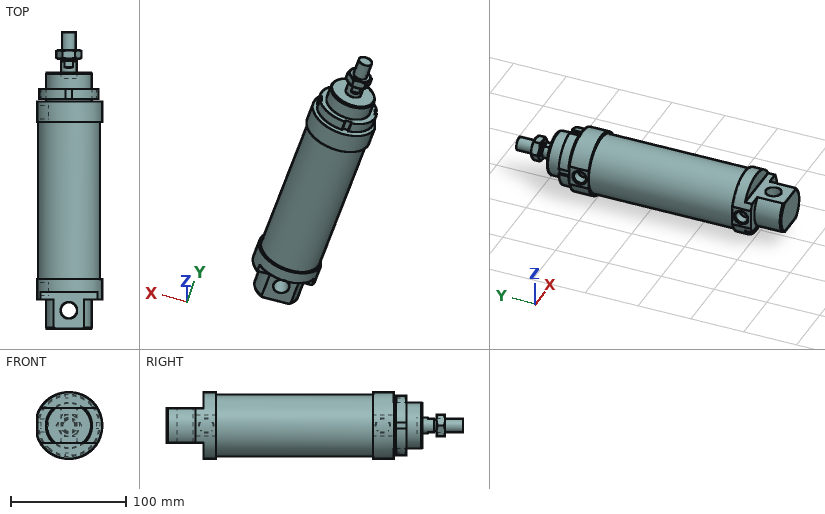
import cadquery as cq
import math


rear_end_y = -16.0
tongue_root_y = 9.3
tongue_flat_end_y = 16.0
rear_cap_end_y = 27.0
front_cap_start_y = 163.0
front_cap_end_y = 181.0
collar_end_y = 206.0
rod_shoulder_y = 216.0
rod_neck_end_y = 218.0
rod_tip_y = 241.0

cap_diameter = 58.0
tube_diameter = 54.0
collar_diameter = 40.0
collar_end_diameter = 38.5
end_chamfer_depth = (collar_diameter - collar_end_diameter) / 2
end_chamfer_angle = math.radians(30)
end_chamfer_length = end_chamfer_depth / math.tan(end_chamfer_angle)
tongue_thickness = 30.0
pivot_hole_diameter = 14.0

port_flat_x = -27.51
port_diameter = 11.6
port_mouth_diameter = 13.3
port_chamfer = (port_mouth_diameter - port_diameter) / 2
port_depth = 10.0
port_to_tube = 8.5
rear_port_y = rear_cap_end_y - port_to_tube
front_port_y = front_cap_start_y + port_to_tube

rod_diameter = 14.0
rod_neck_diameter = 10.2
thread_diameter = 12.0
wrench_flat_width = 12.0
wrench_flat_length = 5.0
wrench_flat_runout = (rod_diameter - wrench_flat_width) / 2
rod_socket_depth = 5.0

nut_across_flats = 19.0
nut_across_corners = nut_across_flats / math.cos(math.pi / 6)
nut_start_y = rod_neck_end_y
nut_thickness = 7.5
nut_face_diameter = 18.6
nut_chamfer_angle = math.radians(30)

ring_diameter = 52.0
ring_start_y = 183.0
ring_thickness = 9.0
ring_slot_count = 4
ring_slot_width = 5.5
ring_slot_depth = 2.0


def round_bar(diameter, start_y, end_y):
    """Solid cylinder on the Y axis between two stations."""
    profile = cq.Workplane("XZ", origin=(0, start_y, 0)).circle(diameter / 2)
    return profile.extrude(start_y - end_y)


def box_between(x_range, y_range, z_range):
    """Box spanning the given (low, high) range on each axis."""
    size = [high - low for low, high in (x_range, y_range, z_range)]
    corner = (x_range[0], y_range[0], z_range[0])
    return cq.Workplane("XY").box(*size, centered=False).translate(corner)


def make_cap(start_y, end_y):
    """End cap with a flat on its -X side for the port."""
    cap = round_bar(cap_diameter, start_y, end_y)
    outside_flat = box_between(
        (-cap_diameter, port_flat_x), (start_y, end_y), (-cap_diameter, cap_diameter)
    )
    return cap.cut(outside_flat)


def port_cutter(port_y):
    """Blind port bore with a chamfered mouth, going in from the flat toward +X."""
    mouth = cq.Workplane("YZ", origin=(port_flat_x, port_y, 0))
    bore = mouth.circle(port_diameter / 2).extrude(port_depth)
    cone = cq.Solid.makeCone(
        port_mouth_diameter / 2,
        port_diameter / 2,
        port_chamfer,
        pnt=cq.Vector(port_flat_x, port_y, 0),
        dir=cq.Vector(1, 0, 0),
    )
    return bore.union(cq.Workplane(cone))


def make_cylinder():
    """Tube with its two caps, the front collar and the flattened rear pivot tongue."""
    collar = round_bar(collar_diameter, front_cap_end_y, collar_end_y)
    collar = collar.faces(">Y").chamfer(end_chamfer_length, end_chamfer_depth)
    tongue = round_bar(collar_diameter, rear_end_y, tongue_root_y)
    tongue = tongue.faces("<Y").chamfer(end_chamfer_length, end_chamfer_depth)
    body = round_bar(tube_diameter, rear_cap_end_y, front_cap_start_y)
    body = body.union(make_cap(tongue_root_y, rear_cap_end_y)).union(tongue)
    body = body.union(make_cap(front_cap_start_y, front_cap_end_y)).union(collar)

    half_thickness = tongue_thickness / 2
    for z_range in ((half_thickness, cap_diameter), (-cap_diameter, -half_thickness)):
        body = body.cut(
            box_between((-cap_diameter, cap_diameter), (rear_end_y, tongue_flat_end_y), z_range)
        )

    pivot_hole = cq.Workplane("XY").circle(pivot_hole_diameter / 2).extrude(tongue_thickness, both=True)
    body = body.cut(pivot_hole)
    for port_y in (rear_port_y, front_port_y):
        body = body.cut(port_cutter(port_y))
    return body.cut(round_bar(rod_diameter, collar_end_y - rod_socket_depth, collar_end_y))


def make_rod():
    """Stepped rod with a threaded end, a relief neck and two wrench flats facing +Z and -Z."""
    rod = round_bar(rod_diameter, collar_end_y - rod_socket_depth, rod_shoulder_y)
    rod = rod.union(round_bar(rod_neck_diameter, rod_shoulder_y, rod_neck_end_y))
    rod = rod.union(round_bar(thread_diameter, rod_neck_end_y, rod_tip_y))

    flat_start_y = rod_shoulder_y - wrench_flat_length
    flat_z = wrench_flat_width / 2
    top_z = rod_diameter / 2
    flat_cutter = (
        cq.Workplane("YZ")
        .moveTo(rod_shoulder_y, flat_z)
        .lineTo(flat_start_y, flat_z)
        .lineTo(flat_start_y - wrench_flat_runout, top_z)
        .lineTo(rod_shoulder_y, top_z)
        .close()
        .extrude(rod_diameter, both=True)
    )
    return rod.cut(flat_cutter).cut(flat_cutter.mirror("XY"))


def make_rod_nut():
    """Hexagonal nut with two flats facing +Z and -Z and its corners turned down at both ends."""
    hexagon = (
        cq.Workplane("XZ", origin=(0, nut_start_y, 0))
        .polygon(6, nut_across_corners)
        .extrude(-nut_thickness)
    )
    chamfer_depth = (nut_across_corners - nut_face_diameter) / 2
    chamfer_length = chamfer_depth * math.tan(nut_chamfer_angle)
    turned = round_bar(nut_across_corners, nut_start_y, nut_start_y + nut_thickness)
    turned = turned.faces("<Y or >Y").chamfer(chamfer_length, chamfer_depth)
    bore = round_bar(thread_diameter, nut_start_y, nut_start_y + nut_thickness)
    return hexagon.intersect(turned).cut(bore)


def make_ring_nut():
    """Round nut on the collar with wrench slots around its rim."""
    end_y = ring_start_y + ring_thickness
    ring = round_bar(ring_diameter, ring_start_y, end_y)
    ring = ring.cut(round_bar(collar_diameter, ring_start_y, end_y))
    slot = box_between(
        (-ring_slot_width / 2, ring_slot_width / 2),
        (ring_start_y, end_y),
        (ring_diameter / 2 - ring_slot_depth, ring_diameter / 2),
    )
    for index in range(ring_slot_count):
        angle = index * 360 / ring_slot_count
        ring = ring.cut(slot.rotate((0, 0, 0), (0, 1, 0), angle))
    return ring


cylinder = make_cylinder()
piston_rod = make_rod()
rod_nut = make_rod_nut()
ring_nut = make_ring_nut()

result = cq.Compound.makeCompound([cylinder.val(), piston_rod.val(), rod_nut.val(), ring_nut.val()])